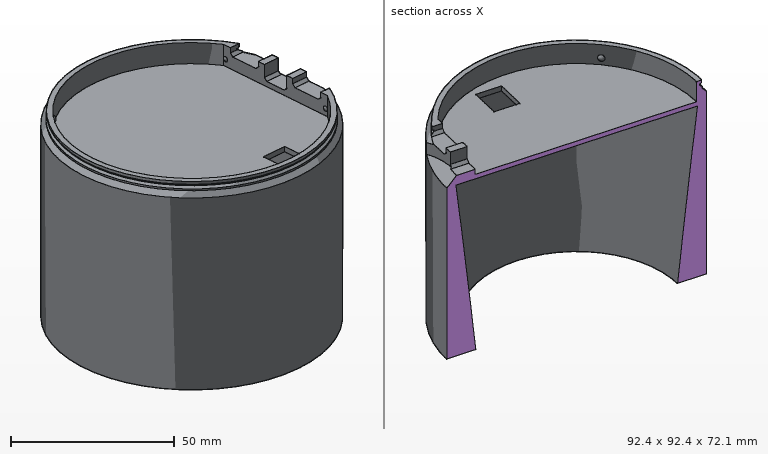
import cadquery as cq
import math

outer_radius = 46.2
height = 72.1
shoulder_z = 67.3
seat_radius = 44.6
seat_bottom_z = 68.9
seat_top_z = 69.6
groove_radius = 87.6 / 2
groove_bottom_z = 70.2
groove_top_z = 70.5
rim_radius = 44.4
rim_bottom_z = 71.1

recess_radius = 42.5
recess_floor_z = 64.7
recess_wall_y = 36.0
cavity_bottom_radius = 71.5 / 2
cavity_top_radius = 85.7 / 2
floor_thickness = 1.85

flat_y = 42.0
cone_bottom_z = 63.0

foot_size = 1.0
middle_slot_width = 9.6
side_slot_width = 12.1
side_slot_x = 13.54
middle_slot_floor_z = 66.5
side_slot_floor_z = 69.2

window_length = 11.1
window_width = 9.15
window_x = 32.2
window_y = 9.1

bump_radius = 1.2
bump_circle_radius = 42.8
bump_z = 67.2
bump_angles = (59.5, 120.5, 220.7, 319.3)


def revolved_body():
    profile = [
        (0, 0),
        (outer_radius, 0),
        (outer_radius, shoulder_z),
        (seat_radius, seat_bottom_z),
        (seat_radius, seat_top_z),
        (groove_radius, groove_bottom_z),
        (groove_radius, groove_top_z),
        (rim_radius, rim_bottom_z),
        (rim_radius, height),
        (0, height),
    ]
    return cq.Workplane("XZ").polyline(profile).close().revolve(360, (0, 0, 0), (0, 1, 0))


def recess():
    """Round pocket cut off straight at the back wall."""
    depth = height - recess_floor_z
    disc = cq.Workplane("XY").workplane(offset=recess_floor_z).circle(recess_radius).extrude(depth)
    front_side = cq.Workplane("XY").box(
        2 * outer_radius, outer_radius + recess_wall_y, height, centered=(True, False, False)
    ).translate((0, -outer_radius, 0))
    return disc.intersect(front_side)


def cavity():
    """Tapered cavity, wider towards the recess floor."""
    ceiling_z = recess_floor_z - floor_thickness
    profile = [
        (0, 0),
        (cavity_bottom_radius, 0),
        (cavity_top_radius, ceiling_z),
        (0, ceiling_z),
    ]
    return cq.Workplane("XZ").polyline(profile).close().revolve(360, (0, 0, 0), (0, 1, 0))


def back_flat():
    """Space behind the flat, less the cone that rises 45 degrees inward from the outer wall."""
    space = cq.Workplane("XY").box(
        2 * outer_radius, outer_radius - flat_y, height - cone_bottom_z, centered=(True, False, False)
    ).translate((0, flat_y, cone_bottom_z))
    cone_profile = [
        (0, cone_bottom_z),
        (outer_radius, cone_bottom_z),
        (0, cone_bottom_z + outer_radius),
    ]
    cone = cq.Workplane("XZ").polyline(cone_profile).close().revolve(360, (0, 0, 0), (0, 1, 0))
    return space.cut(cone)


def slot(center_x, width, floor_z):
    """Slot along Y with a 45 degree foot at the base of each side."""
    half = width / 2
    profile = [
        (center_x - half, height),
        (center_x - half, floor_z + foot_size),
        (center_x - half + foot_size, floor_z),
        (center_x + half - foot_size, floor_z),
        (center_x + half, floor_z + foot_size),
        (center_x + half, height),
    ]
    slot_start = cq.Workplane("XZ", origin=(0, recess_wall_y, 0))
    return slot_start.polyline(profile).close().extrude(recess_wall_y - outer_radius)


def window():
    start = cq.Workplane("XY").workplane(offset=recess_floor_z).center(window_x, window_y)
    return start.rect(window_length, window_width).extrude(-floor_thickness)


def snap_bump(angle):
    x = bump_circle_radius * math.cos(math.radians(angle))
    y = bump_circle_radius * math.sin(math.radians(angle))
    return cq.Workplane("XY").sphere(bump_radius).translate((x, y, bump_z))


result = revolved_body().cut(recess()).cut(cavity()).cut(back_flat()).cut(window())
result = result.cut(slot(0, middle_slot_width, middle_slot_floor_z))
for side in (-1, 1):
    result = result.cut(slot(side * side_slot_x, side_slot_width, side_slot_floor_z))
for bump_angle in bump_angles:
    result = result.union(snap_bump(bump_angle))